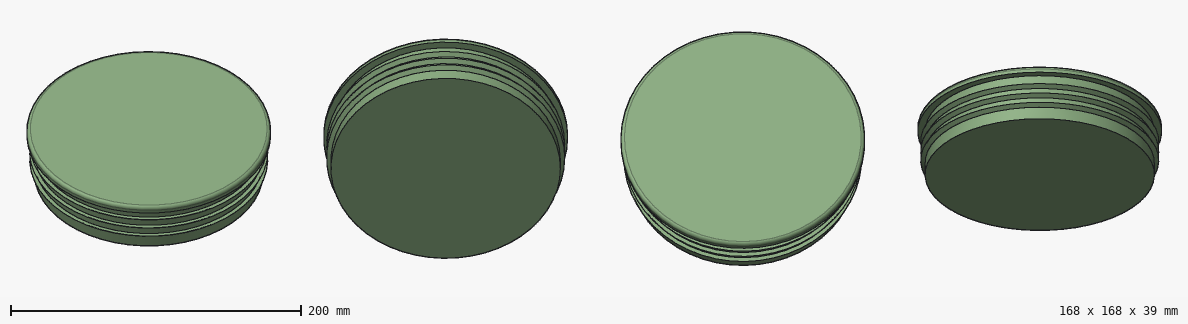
import cadquery as cq

cap_diameter = 168.0
cap_thickness = 5.0
cap_edge_radius = 2.5
body_diameter = 158.0
total_height = 39.0

fin_diameter = 164.0
fin_height = 2.2
fin_pitch = 7.4
fin_count = 3
lowest_fin_top = 11.3

cap_bottom = total_height - cap_thickness


def make_body():
    return cq.Workplane("XY").circle(body_diameter / 2).extrude(cap_bottom)


def make_cap():
    disc = cq.Workplane("XY").workplane(offset=cap_bottom).circle(cap_diameter / 2).extrude(cap_thickness)
    return disc.faces(">Z").edges().fillet(cap_edge_radius)


def make_fin(top):
    """Ring of revolution around Z; the section reaches the axis so it fuses with the body."""
    body_radius = body_diameter / 2
    fin_radius = fin_diameter / 2
    section = (
        cq.Workplane("XZ")
        .moveTo(0, top)
        .lineTo(fin_radius, top)
        .lineTo(body_radius, top - fin_height)
        .lineTo(0, top - fin_height)
        .close()
    )
    return section.revolve(360, (0, 0, 0), (0, 1, 0))


result = make_body().union(make_cap())
for index in range(fin_count):
    result = result.union(make_fin(lowest_fin_top + index * fin_pitch))